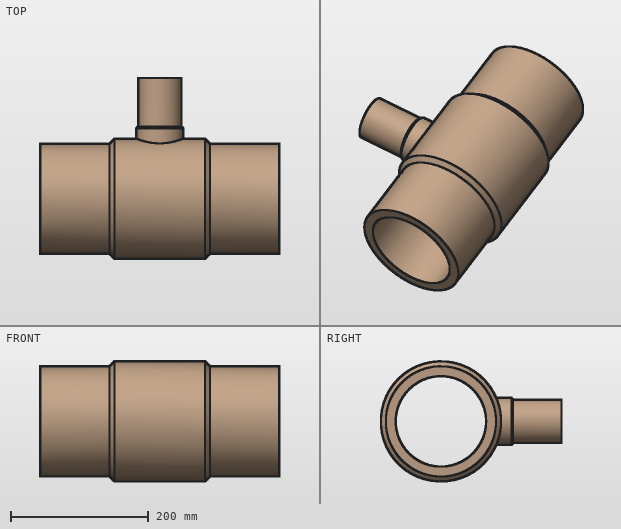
import cadquery as cq

pipe_length = 347.0
pipe_diameter = 160.0
bore_diameter = 130.8

sleeve_length = 145.7
sleeve_diameter = 174.5
sleeve_chamfer = (sleeve_diameter - pipe_diameter) / 2

overall_width = 262.2
branch_end = overall_width - sleeve_diameter / 2
branch_diameter = 63.0
branch_bore_diameter = 51.5
collar_diameter = 68.7
collar_end = 104.8
collar_chamfer = (collar_diameter - branch_diameter) / 2


def cylinder_x(diameter, length):
    """Cylinder along X, centred on the origin."""
    return cq.Workplane("YZ").circle(diameter / 2).extrude(length / 2, both=True)


def cylinder_y(diameter, end):
    """Cylinder from the pipe axis out to Y = end."""
    return cq.Workplane("XZ").circle(diameter / 2).extrude(-end)


pipe = cylinder_x(pipe_diameter, pipe_length)
sleeve = cylinder_x(sleeve_diameter, sleeve_length).edges().chamfer(sleeve_chamfer)
branch = cylinder_y(branch_diameter, branch_end)
collar = cylinder_y(collar_diameter, collar_end).faces(">Y").chamfer(collar_chamfer)

body = pipe.union(sleeve).union(collar).union(branch)

main_bore = cylinder_x(bore_diameter, pipe_length)
branch_bore = cylinder_y(branch_bore_diameter, branch_end)
result = body.cut(main_bore).cut(branch_bore)